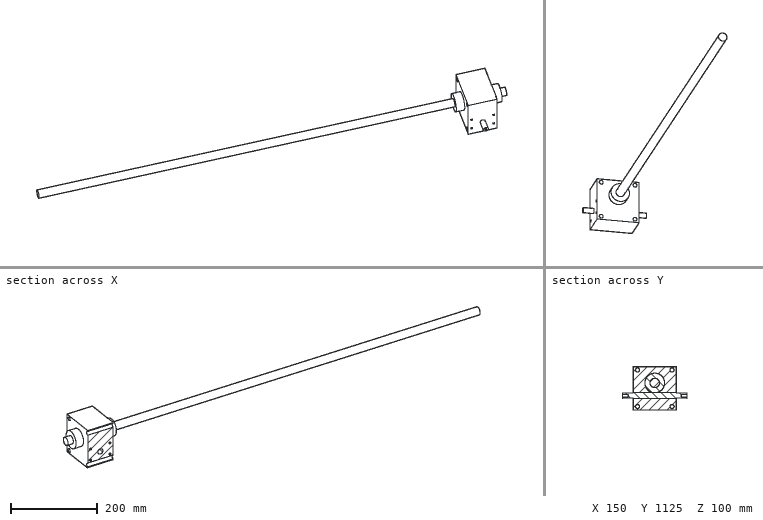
import cadquery as cq

housing_width = 100.0
housing_depth = 70.0
housing_height = 100.0
mount_hole_diameter = 9.0
mount_hole_spacing_x = 80.0
mount_hole_spacing_z = 84.0
flange_hole_diameter = 4.2
flange_hole_depth = 11.0
flange_hole_spacing_y = 53.0
flange_hole_spacing_z = 29.0

spindle_length = 1125.0
spindle_diameter = 20.0
spindle_rear_overhang = 15.0
spindle_z = 12.0
sleeve_diameter = 44.0
sleeve_overhang = 20.0

shaft_length = 150.0
shaft_diameter = 12.0
shaft_z = -17.0
end_hole_diameter = 4.2
end_hole_depth = 14.0

sleeve_length = housing_depth + 2 * sleeve_overhang
sleeve_rear_y = sleeve_length / 2
spindle_rear_y = sleeve_rear_y + spindle_rear_overhang


def rod_along_y(diameter, rear_y, length, z):
    """Cylinder that runs from rear_y toward -Y."""
    return cq.Workplane("XZ", origin=(0, rear_y, z)).circle(diameter / 2).extrude(length)


def rod_along_x(diameter, length, z):
    """Cylinder centred on the YZ plane."""
    return cq.Workplane("YZ", origin=(0, 0, z)).circle(diameter / 2).extrude(length / 2, both=True)


def make_housing():
    """Block with mounting holes, flange holes and bores for the sleeve and the shaft."""
    block = cq.Workplane("XY").box(housing_width, housing_depth, housing_height)
    mount_holes = (
        cq.Workplane("XZ", origin=(0, housing_depth / 2, 0))
        .rect(mount_hole_spacing_x, mount_hole_spacing_z, forConstruction=True)
        .vertices()
        .circle(mount_hole_diameter / 2)
        .extrude(housing_depth)
    )
    flange_holes = (
        cq.Workplane("YZ", origin=(-housing_width / 2, 0, shaft_z))
        .rect(flange_hole_spacing_y, flange_hole_spacing_z, forConstruction=True)
        .vertices()
        .circle(flange_hole_diameter / 2)
        .extrude(flange_hole_depth)
    )
    sleeve_bore = rod_along_y(sleeve_diameter, housing_depth / 2, housing_depth, spindle_z)
    shaft_bore = rod_along_x(shaft_diameter, housing_width, shaft_z)
    drilled = block.cut(mount_holes).cut(flange_holes).cut(flange_holes.mirror("YZ"))
    return drilled.cut(sleeve_bore).cut(shaft_bore)


def make_sleeve():
    """Tube around the spindle that stands out of both Y faces of the housing."""
    tube = rod_along_y(sleeve_diameter, sleeve_rear_y, sleeve_length, spindle_z)
    return tube.cut(rod_along_y(spindle_diameter, sleeve_rear_y, sleeve_length, spindle_z))


def make_spindle():
    """Long plain rod that passes through the sleeve."""
    return rod_along_y(spindle_diameter, spindle_rear_y, spindle_length, spindle_z)


def make_shaft():
    """Through shaft with a blind centre hole in each end."""
    shaft = rod_along_x(shaft_diameter, shaft_length, shaft_z)
    left_hole = (
        cq.Workplane("YZ", origin=(-shaft_length / 2, 0, shaft_z))
        .circle(end_hole_diameter / 2)
        .extrude(end_hole_depth)
    )
    return shaft.cut(left_hole).cut(left_hole.mirror("YZ"))


housing = make_housing()
sleeve = make_sleeve()
spindle = make_spindle()
shaft = make_shaft()

result = cq.Compound.makeCompound([housing.val(), sleeve.val(), spindle.val(), shaft.val()])